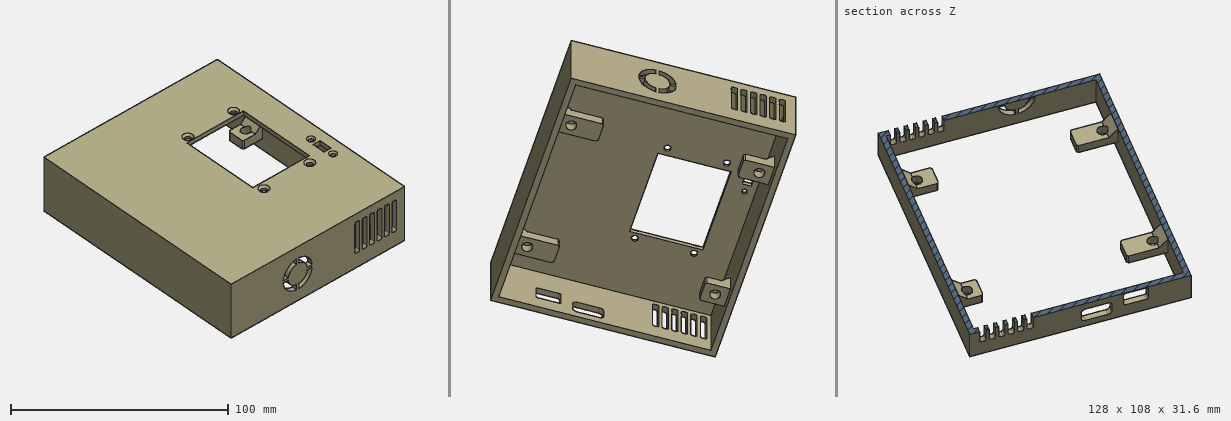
import cadquery as cq

length_x = 128.0
length_y = 108.0
height = 31.6
wall = 3.0
roof = 2.5
roof_underside = height - roof
inner_y = length_y / 2 - wall
cut_margin = 1.0
countersink_angle = 90.0

wall_cut_depth = wall + 2 * cut_margin
left_cut_start = -length_x / 2 - cut_margin
right_cut_start = length_x / 2 - wall - cut_margin

window_x = 45.0
window_y = 35.2
window_center = (-5.0, 19.4)
display_hole_center = (-4.5, 19.4)
display_hole_spacing = (52.0, 28.5)
display_hole_diameter = 3.2
display_head_diameter = 5.5

switch_center = (16.3, 46.0)
switch_x = 7.4
switch_y = 4.3
switch_hole_spacing = 15.0
switch_hole_diameter = 2.5
switch_head_diameter = 4.2


vent_count = 6
vent_pitch = 4.6
vent_first_y = 47.5
vent_width = 3.0
vent_height = 18.1
vent_center_z = 17.6
vent_corner_radius = 1.0

wide_port_center = (-7.9, 8.0)
wide_port_size = (15.0, 8.0)
wide_port_radius = 2.0
narrow_port_center = (-27.0, 11.5)
narrow_port_size = (12.1, 8.0)
narrow_port_radius = 1.0

grille_center = (-12.5, 15.7)
grille_outer_radius = 9.0
grille_inner_radius = 6.0
grille_spoke_width = 1.5

lug_center_x = 35.0
lug_width = 10.0
lug_bottom = 6.4
lug_thickness = 5.0
lug_chamfer = 0.8
lug_web = 4.4
lug_hole_diameter = 5.0
lug_hole_inset = 5.8
rear_left_reach = 12.0
rear_right_reach = 14.7
front_reach = 20.0


def make_shell():
    outer = cq.Workplane("XY").box(length_x, length_y, height, centered=(True, True, False))
    cavity = cq.Workplane("XY").box(
        length_x - 2 * wall, length_y - 2 * wall, roof_underside, centered=(True, True, False)
    )
    return outer.cut(cavity)


def make_lug(center_x, side, reach):
    """Lug on the +Y wall (side = 1) or the -Y wall (side = -1)."""
    center_y = side * (inner_y - reach / 2)
    lug = (
        cq.Workplane("XY", origin=(center_x, center_y, lug_bottom))
        .box(lug_width, reach, lug_thickness, centered=(True, True, False))
        .faces("<Y" if side > 0 else ">Y")
        .edges("|Z")
        .chamfer(lug_chamfer)
    )
    lug_top = lug_bottom + lug_thickness
    web = (
        cq.Workplane("YZ", origin=(center_x - lug_width / 2, 0, 0))
        .polyline(
            [
                (side * (inner_y - lug_web), lug_top),
                (side * inner_y, lug_top),
                (side * inner_y, lug_top + lug_web),
            ]
        )
        .close()
        .extrude(lug_width)
    )
    hole = (
        cq.Workplane("XY", origin=(center_x, side * (inner_y - lug_hole_inset), lug_bottom))
        .circle(lug_hole_diameter / 2)
        .extrude(lug_thickness + lug_web)
    )
    return lug.union(web).cut(hole)


def roof_opening(center, size_x, size_y):
    return (
        cq.Workplane("XY", origin=(*center, roof_underside - cut_margin))
        .rect(size_x, size_y)
        .extrude(roof + 2 * cut_margin)
    )


def countersink_roof(body, points, hole_diameter, head_diameter):
    return (
        body.faces(">Z")
        .workplane(origin=(0, 0, height))
        .pushPoints(points)
        .cskHole(hole_diameter, head_diameter, countersink_angle, depth=roof + cut_margin)
    )


def rounded_opening(center, size, radius, start_x):
    """Cutter with a rounded rectangular YZ section, passing through one end wall."""
    return (
        cq.Workplane("YZ", origin=(start_x, *center))
        .rect(*size)
        .extrude(wall_cut_depth)
        .edges("|X")
        .fillet(radius)
    )


def make_grille():
    """Annular opening interrupted by one vertical and one horizontal bar."""
    plane = cq.Workplane("YZ", origin=(right_cut_start, *grille_center))
    ring = plane.circle(grille_outer_radius).circle(grille_inner_radius).extrude(wall_cut_depth)
    span = 2 * (grille_outer_radius + cut_margin)
    for size in ((grille_spoke_width, span), (span, grille_spoke_width)):
        ring = ring.cut(plane.rect(*size).extrude(wall_cut_depth))
    return ring


def corner_points(center, spacing):
    return [
        (center[0] + side_x * spacing[0] / 2, center[1] + side_y * spacing[1] / 2)
        for side_x in (-1, 1)
        for side_y in (-1, 1)
    ]


result = make_shell()

result = result.union(make_lug(-lug_center_x, 1, rear_left_reach))
result = result.union(make_lug(lug_center_x, 1, rear_right_reach))
for lug_x in (-lug_center_x, lug_center_x):
    result = result.union(make_lug(lug_x, -1, front_reach))

result = result.cut(roof_opening(window_center, window_x, window_y))
result = result.cut(roof_opening(switch_center, switch_x, switch_y))
display_points = corner_points(display_hole_center, display_hole_spacing)
result = countersink_roof(result, display_points, display_hole_diameter, display_head_diameter)
switch_points = [
    (switch_center[0] + side * switch_hole_spacing / 2, switch_center[1]) for side in (-1, 1)
]
result = countersink_roof(result, switch_points, switch_hole_diameter, switch_head_diameter)

for index in range(vent_count):
    vent_center = (vent_first_y - index * vent_pitch, vent_center_z)
    for start_x in (left_cut_start, right_cut_start):
        vent = rounded_opening(vent_center, (vent_width, vent_height), vent_corner_radius, start_x)
        result = result.cut(vent)

result = result.cut(
    rounded_opening(wide_port_center, wide_port_size, wide_port_radius, left_cut_start)
)
result = result.cut(
    rounded_opening(narrow_port_center, narrow_port_size, narrow_port_radius, left_cut_start)
)
result = result.cut(make_grille())